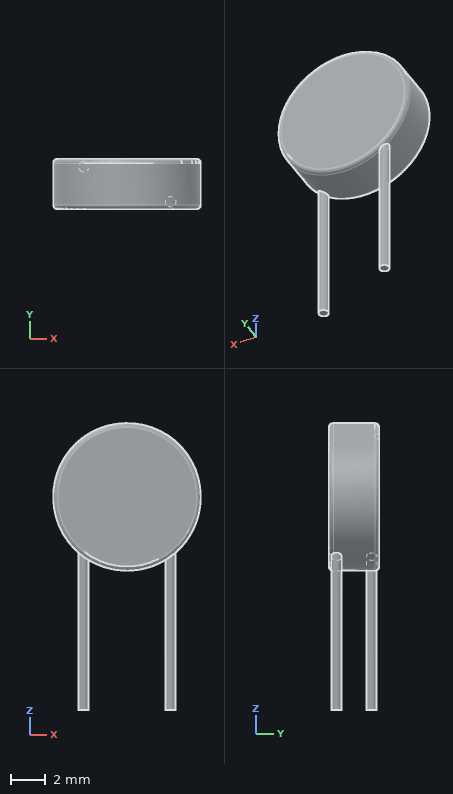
import cadquery as cq

disc_diameter = 8.5
disc_thickness = 2.9
edge_radius = 0.25

overall_height = 16.5
lead_diameter = 0.6
lead_spacing_x = 5.0
lead_spacing_y = 2.01

disc_radius = disc_diameter / 2
lead_bottom = disc_radius - overall_height


def make_disc():
    """Round disc with both rims rounded."""
    back = cq.Workplane("XZ", origin=(0, disc_thickness / 2, 0))
    disc = back.circle(disc_radius).extrude(disc_thickness)
    return disc.faces("<Y or >Y").edges().fillet(edge_radius)


def make_lead(side):
    """Straight vertical wire ending inside the disc; side is -1 or +1 along X."""
    return (
        cq.Workplane("XY", origin=(0, 0, lead_bottom))
        .center(side * lead_spacing_x / 2, -side * lead_spacing_y / 2)
        .circle(lead_diameter / 2)
        .extrude(-lead_bottom)
    )


result = make_disc()
for side in (-1, 1):
    result = result.union(make_lead(side))